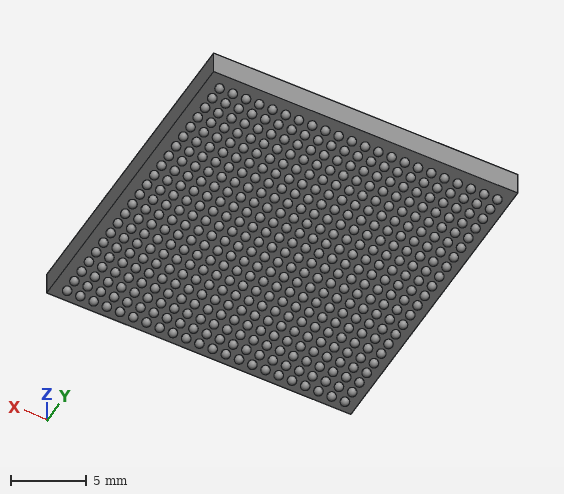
import cadquery as cq

body_side = 23.0
total_height = 2.32
ball_standoff = 0.53
body_height = total_height - ball_standoff

ball_diameter = 0.65
ball_radius = ball_diameter / 2
balls_per_side = 22
pitches_per_side = balls_per_side + 1
ball_pitch = body_side / pitches_per_side

marker_diameter = 2.3
marker_inset = 2.3
marker_depth = 0.005


def make_body():
    """Square plate whose underside sits at the ball standoff height."""
    return (
        cq.Workplane("XY", origin=(0, 0, ball_standoff))
        .rect(body_side, body_side)
        .extrude(body_height)
    )


def cut_corner_marker(body):
    """Shallow round recess in the top face that marks the -X, +Y corner."""
    marker_offset = body_side / 2 - marker_inset
    marker = (
        cq.Workplane("XY", origin=(-marker_offset, marker_offset, total_height))
        .circle(marker_diameter / 2)
        .extrude(-marker_depth)
    )
    return body.cut(marker)


def make_balls():
    """Full square grid of spheres, sunk partly into the underside of the body."""
    ball = cq.Solid.makeSphere(ball_radius, angleDegrees1=-90, angleDegrees2=90)
    return (
        cq.Workplane("XY", origin=(0, 0, ball_radius))
        .rarray(ball_pitch, ball_pitch, balls_per_side, balls_per_side)
        .eachpoint(lambda place: ball.located(place), combine=False)
    )


body = cut_corner_marker(make_body())
result = cq.Workplane(body.val().fuse(*make_balls().vals()))